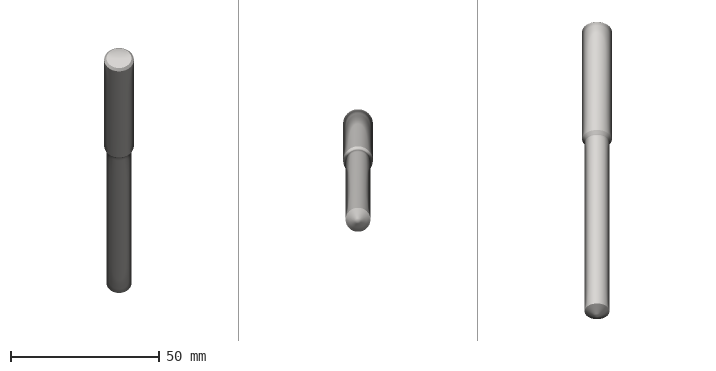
import cadquery as cq
import math

total_length = 125.0
shank_diameter = 10.0
drill_diameter = 8.4
point_angle = 120.0

shank_bottom_z = 77.2
end_chamfer = 0.8
shoulder_half_angle = 30.0
neck_length = 0.8

shank_radius = shank_diameter / 2
drill_radius = drill_diameter / 2
point_height = drill_radius / math.tan(math.radians(point_angle / 2))
shoulder_height = (shank_radius - drill_radius) / math.tan(math.radians(shoulder_half_angle))
neck_top_z = shank_bottom_z - shoulder_height
joint_z = neck_top_z - neck_length


def revolve_profile(points):
    """Turn a closed (radius, height) outline around the Z axis."""
    return cq.Workplane("XZ").polyline(points).close().revolve(360, (0, 0, 0), (0, 1, 0))


def make_cutter():
    """Plain cylindrical cutting length with a conical point."""
    return revolve_profile([
        (0, 0),
        (drill_radius, point_height),
        (drill_radius, joint_z),
        (0, joint_z),
    ])


def make_shank():
    """Short neck, conical shoulder and clamping cylinder with a chamfered end."""
    return revolve_profile([
        (0, joint_z),
        (drill_radius, joint_z),
        (drill_radius, neck_top_z),
        (shank_radius, shank_bottom_z),
        (shank_radius, total_length - end_chamfer),
        (shank_radius - end_chamfer, total_length),
        (0, total_length),
    ])


cutter = make_cutter()
shank = make_shank()

result = cq.Compound.makeCompound([cutter.val(), shank.val()])